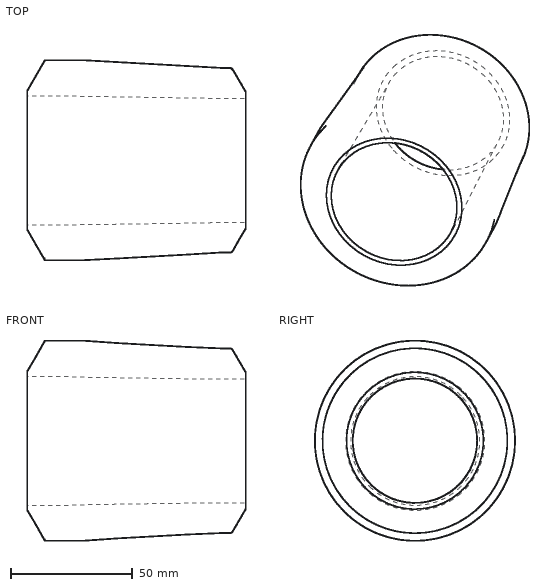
import cadquery as cq

length = 90.0

large_diameter = 82.5
large_bore = 53.1
bore_taper_start = 15.0
large_face_diameter = 57.2
large_bevel_length = 7.3
large_edge_radius = 0.9
taper_start = 22.95

small_diameter = 76.1
small_bore = 51.1
small_face_diameter = 56.3
small_bevel_length = 5.8
small_edge_radius = 1.6
taper_end = 80.0


def revolve_about_x(profile):
    """Revolve a profile of (x, radius) points a full turn about the X axis."""
    return profile.close().revolve(360, (0, 0, 0), (1, 0, 0))


def outer_body():
    """Solid envelope: bevel, cylinder, cone, cylinder, bevel."""
    large_radius = large_diameter / 2
    small_radius = small_diameter / 2
    profile = (
        cq.Workplane("XY")
        .lineTo(0, large_face_diameter / 2)
        .lineTo(large_bevel_length, large_radius)
        .lineTo(taper_start, large_radius)
        .lineTo(taper_end, small_radius)
        .lineTo(length - small_bevel_length, small_radius)
        .lineTo(length, small_face_diameter / 2)
        .lineTo(length, 0)
    )
    return revolve_about_x(profile)


def round_bevel_edge(body, x, radius):
    """Round the circular edge where a bevel meets its cylinder at position x."""
    tolerance = 0.1
    half_width = large_diameter
    edge = cq.selectors.BoxSelector(
        (x - tolerance, -half_width, -half_width),
        (x + tolerance, half_width, half_width),
        boundingbox=True,
    )
    return body.edges("%CIRCLE").edges(edge).fillet(radius)


def bore():
    """Through bore that narrows in a cone and ends level with the outer taper."""
    profile = (
        cq.Workplane("XY")
        .lineTo(0, large_bore / 2)
        .lineTo(bore_taper_start, large_bore / 2)
        .lineTo(taper_end, small_bore / 2)
        .lineTo(length, small_bore / 2)
        .lineTo(length, 0)
    )
    return revolve_about_x(profile)


body = outer_body()
body = round_bevel_edge(body, large_bevel_length, large_edge_radius)
body = round_bevel_edge(body, length - small_bevel_length, small_edge_radius)
result = body.cut(bore())